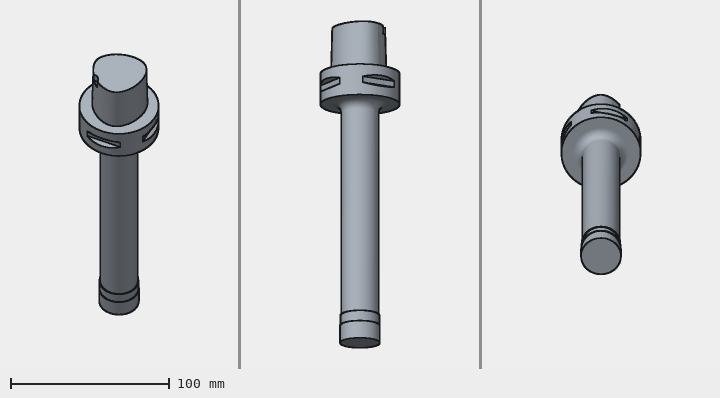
import cadquery as cq
import math

total_height = 205.0
shank_height = 30.0
flange_height = 19.9
head_height = 11.3
collar_height = 6.8
shank_base_z = total_height - shank_height
flange_base_z = shank_base_z - flange_height
collar_base_z = head_height
collar_top_z = collar_base_z + collar_height

flange_diameter = 50.0
bar_diameter = 23.8
collar_diameter = 24.5
head_diameter = 25.2
neck_fillet = 5.5

shank_base_width = 35.0
shank_top_width = 33.6
lobe_rise = 1.0
lobe_half_angle = 35.0
lobe_directions = (90.0, 210.0, 330.0)
points_per_face = 9

groove_radius = 4.0
groove_centre_y = -18.2
groove_depth = 5.1

slot_count = 4
slot_first_angle = 45.0
slot_floor_radius = 22.1
slot_floor_height = 3.9
slot_mouth_height = 7.0
slot_length = flange_diameter


def lobed_point(width, angle):
    """Point of the constant-width outline whose outward normal has this angle."""
    normal = math.radians(angle)
    lobe_phase = 3 * math.radians(angle - lobe_directions[0])
    reach = width / 2 + lobe_rise * math.cos(lobe_phase)
    sideways = -3 * lobe_rise * math.sin(lobe_phase)
    return cq.Vector(
        reach * math.cos(normal) - sideways * math.sin(normal),
        reach * math.sin(normal) + sideways * math.cos(normal),
    )


def lobed_wire(width, z):
    """Closed outline with one curve per lobe and one per flank."""
    lobe_spacing = 360.0 / len(lobe_directions)
    edges = []
    for direction in lobe_directions:
        breaks = (
            direction - lobe_half_angle,
            direction + lobe_half_angle,
            direction + lobe_spacing - lobe_half_angle,
        )
        for start, end in zip(breaks, breaks[1:]):
            step = (end - start) / (points_per_face - 1)
            points = [lobed_point(width, start + i * step) for i in range(points_per_face)]
            edges.append(cq.Edge.makeSpline(points))
    return cq.Wire.assembleEdges(edges).translate(cq.Vector(0, 0, z))


def make_shank():
    base = lobed_wire(shank_base_width, shank_base_z)
    top = lobed_wire(shank_top_width, total_height)
    shank = cq.Workplane(obj=cq.Solid.makeLoft([base, top], True))
    groove = (
        cq.Workplane("XY", origin=(0, groove_centre_y, total_height - groove_depth))
        .circle(groove_radius)
        .extrude(groove_depth)
    )
    return shank.cut(groove)


def make_slot(angle):
    """Flat-bottomed slot cutter whose mouth flares outwards."""
    slot_z = flange_base_z + flange_height / 2
    mouth_radius = flange_diameter / 2
    return (
        cq.Workplane("XZ")
        .moveTo(slot_floor_radius, slot_z - slot_floor_height / 2)
        .lineTo(mouth_radius, slot_z - slot_mouth_height / 2)
        .lineTo(mouth_radius, slot_z + slot_mouth_height / 2)
        .lineTo(slot_floor_radius, slot_z + slot_floor_height / 2)
        .close()
        .extrude(slot_length / 2, both=True)
        .rotate((0, 0, 0), (0, 0, 1), angle)
    )


def make_round_body():
    """Flange, filleted neck, bar and collar as one turned shape."""
    bar_radius = bar_diameter / 2
    fillet_inset = neck_fillet * (1 - math.sqrt(0.5))
    return (
        cq.Workplane("XZ")
        .moveTo(0, collar_base_z)
        .lineTo(collar_diameter / 2, collar_base_z)
        .lineTo(collar_diameter / 2, collar_top_z)
        .lineTo(bar_radius, collar_top_z)
        .lineTo(bar_radius, flange_base_z - neck_fillet)
        .threePointArc(
            (bar_radius + fillet_inset, flange_base_z - fillet_inset),
            (bar_radius + neck_fillet, flange_base_z),
        )
        .lineTo(flange_diameter / 2, flange_base_z)
        .lineTo(flange_diameter / 2, shank_base_z)
        .lineTo(0, shank_base_z)
        .close()
        .revolve(360, (0, 0, 0), (0, 1, 0))
    )


def make_holder():
    holder = make_round_body().union(make_shank())
    for i in range(slot_count):
        holder = holder.cut(make_slot(slot_first_angle + i * 360.0 / slot_count))
    return holder


def make_head():
    return cq.Workplane("XY").circle(head_diameter / 2).extrude(head_height)


holder = make_holder()
head = make_head()
result = cq.Compound.makeCompound([holder.val(), head.val()])